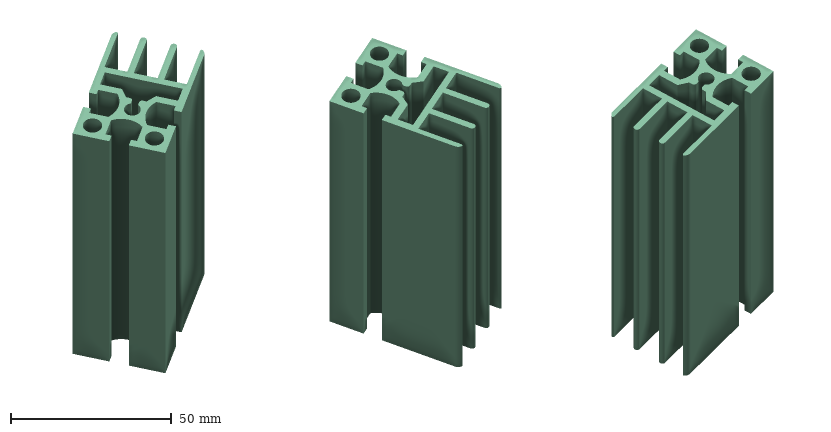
import cadquery as cq
import math

width = 30.0
depth = 45.5
length = 100.0
half_width = width / 2

core_y = half_width
slot_opening = 6.3
slot_width = 10.2
slot_half_opening = slot_opening / 2
slot_half_width = slot_width / 2
lip_thickness = 2.5
slot_floor_distance = 4.5
slot_floor_radius = 8.1

core_diameter = 5.2
neck_width = 2.3
neck_half_width = neck_width / 2
neck_top = 19.5
neck_corner_radius = 1.0

cavity_half_width = 12.6
cavity_bottom = 22.5
cavity_top = 27.8
throat_top_half_width = 5.5
throat_bottom_half_width = 3.3

fin_floor = 30.0
inner_fin_offset = 4.9
inner_fin_thickness = 2.1
outer_fin_thickness = 1.7
outer_tip_height = 2.0
crest_inset = 1.3
inner_tip_drop = 0.5

corner_hole_diameter = 6.0
corner_hole_offset = 10.0
corner_hole_y = 5.0


def box(x_min, x_max, y_min, y_max):
    """Full-length block between two opposite plan corners."""
    return cq.Workplane("XY").box(
        x_max - x_min, y_max - y_min, length, centered=False
    ).translate((x_min, y_min, 0))


def cylinder(x, y, diameter):
    """Full-length round bar."""
    return cq.Workplane("XY").center(x, y).circle(diameter / 2).extrude(length)


def t_slot(angle):
    """Cutter for the front T-slot, turned about the core axis."""
    floor_y = core_y - slot_floor_distance
    sagitta = slot_floor_radius - math.sqrt(slot_floor_radius**2 - slot_half_width**2)
    shoulder_y = floor_y - sagitta
    return (
        cq.Workplane("XY")
        .moveTo(-slot_half_opening, 0)
        .lineTo(-slot_half_opening, lip_thickness)
        .lineTo(-slot_half_width, lip_thickness)
        .lineTo(-slot_half_width, shoulder_y)
        .threePointArc((0, floor_y), (slot_half_width, shoulder_y))
        .lineTo(slot_half_width, lip_thickness)
        .lineTo(slot_half_opening, lip_thickness)
        .lineTo(slot_half_opening, 0)
        .close()
        .extrude(length)
        .rotate((0, core_y, 0), (0, core_y, 1), angle)
    )


def core_opening():
    """Core hole, rounded neck, tapered throat and closed cavity."""
    round_start = neck_half_width + neck_corner_radius
    round_base = neck_top - neck_corner_radius
    mid = neck_corner_radius * math.sqrt(0.5)
    neck = (
        cq.Workplane("XY")
        .moveTo(-neck_half_width, core_y)
        .lineTo(-neck_half_width, round_base)
        .threePointArc((-round_start + mid, round_base + mid), (-round_start, neck_top))
        .lineTo(-throat_bottom_half_width, neck_top)
        .lineTo(-throat_top_half_width, cavity_bottom)
        .lineTo(throat_top_half_width, cavity_bottom)
        .lineTo(throat_bottom_half_width, neck_top)
        .lineTo(round_start, neck_top)
        .threePointArc((round_start - mid, round_base + mid), (neck_half_width, round_base))
        .lineTo(neck_half_width, core_y)
        .close()
        .extrude(length)
    )
    cavity = box(-cavity_half_width, cavity_half_width, cavity_bottom, cavity_top)
    return neck.union(cavity).union(cylinder(0, core_y, core_diameter))


def inner_fin(x):
    """Straight fin with a full-round tip."""
    radius = inner_fin_thickness / 2
    tip_y = depth - radius
    web = box(x - radius, x + radius, cavity_top, tip_y)
    return web.union(cylinder(x, tip_y, inner_fin_thickness))


def outer_fin():
    """Left edge fin with a rounded outer tip and a small inner bevel."""
    outer_x = -half_width
    inner_x = outer_x + outer_fin_thickness
    crest_x = outer_x + crest_inset
    return (
        cq.Workplane("XY")
        .moveTo(inner_x, cavity_top)
        .lineTo(outer_x, cavity_top)
        .lineTo(outer_x, depth - outer_tip_height)
        .tangentArcPoint((crest_x, depth), relative=False)
        .lineTo(inner_x, depth - inner_tip_drop)
        .close()
        .extrude(length)
    )


result = box(-half_width, half_width, 0, fin_floor)

for slot_angle in (0, 90, -90):
    result = result.cut(t_slot(slot_angle))

result = result.cut(core_opening())

for side in (-1, 1):
    result = result.cut(cylinder(side * corner_hole_offset, corner_hole_y, corner_hole_diameter))
    result = result.union(inner_fin(side * inner_fin_offset))

left_fin = outer_fin()
result = result.union(left_fin).union(left_fin.mirror("YZ"))